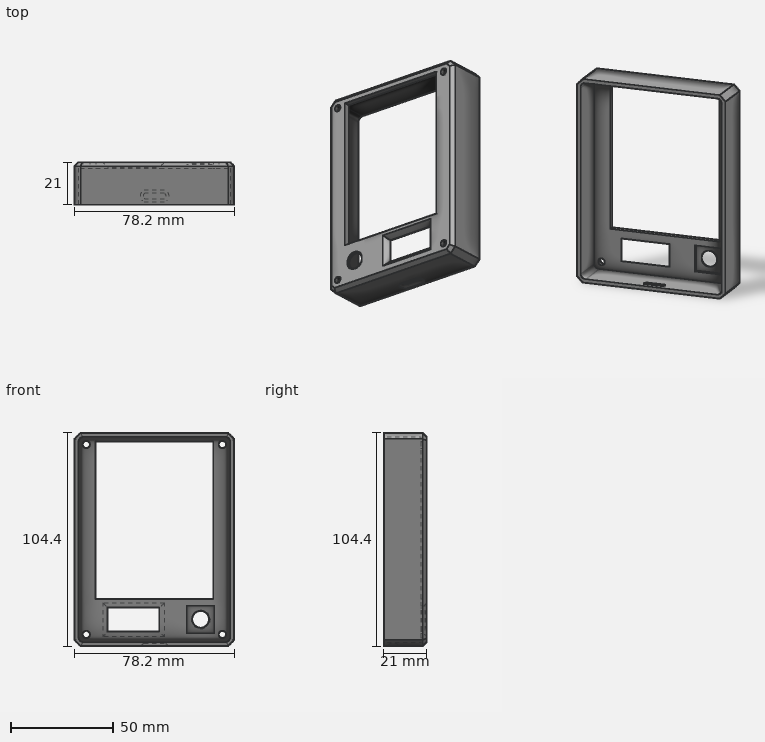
import cadquery as cq
import math

width = 78.2
depth = 21.0
height = 104.4
corner_cut = 3.0
panel_bevel = 2.0
side_wall = 2.0
panel_thickness = 3.0
panel_inner_y = depth - panel_thickness
cavity_corner_radius = 2.5

screen_width = 57.4
screen_height = 76.8
screen_x = 0.0
screen_z = 9.4
display_width = 25.2
display_height = 11.6
display_x = -10.2
display_z = -39.2

button_size = 13.5
button_hole_diameter = 8.1
button_x = 22.7
button_z = -39.0
button_pocket_depth = 2.0

rim_thickness = 0.5
flare_angle = 45

screw_diameter = 3.4
screw_spacing_x = 66.6
screw_spacing_z = 92.9

slot_length = 11.1
slot_width = 3.1
slot_x = 0.0
slot_y = 4.5


def box(size_x, size_z, x, z, y_start, y_length):
    """Block centred on (x, z), running from y_start toward +Y."""
    block = cq.Workplane("XY").box(size_x, y_length, size_z, centered=(True, False, True))
    return block.translate((x, y_start, z))


def panel_sketch(y):
    """Sketch plane parallel to the panel at the given y."""
    return cq.Workplane("XZ", origin=(0, y, 0))


def panel_drill(diameter, points):
    """Round cutters along Y through the whole panel."""
    return panel_sketch(panel_inner_y).pushPoints(points).circle(diameter / 2).extrude(-panel_thickness)


def make_shell():
    shell = box(width, height, 0, 0, 0, depth)
    shell = shell.edges("|Y").chamfer(corner_cut)
    shell = shell.faces(">Y").chamfer(panel_bevel)
    cavity = box(
        width - 2 * side_wall,
        height - 2 * side_wall,
        0,
        0,
        0,
        panel_inner_y,
    )
    return shell.cut(cavity.edges("|Y").fillet(cavity_corner_radius))


def cut_windows(body):
    screen = box(screen_width, screen_height, screen_x, screen_z, panel_inner_y, panel_thickness)
    display = box(display_width, display_height, display_x, display_z, panel_inner_y, panel_thickness)
    flare_depth = panel_thickness - rim_thickness
    flare_growth = 2 * flare_depth * math.tan(math.radians(flare_angle))
    display_flare = panel_sketch(panel_inner_y + rim_thickness).center(display_x, display_z)
    display_flare = display_flare.rect(display_width, display_height).workplane(offset=-flare_depth)
    display_flare = display_flare.rect(display_width + flare_growth, display_height + flare_growth)
    display_flare = display_flare.loft(ruled=True)
    return body.cut(screen).cut(display).cut(display_flare)


def cut_button(body):
    pocket = box(button_size, button_size, button_x, button_z, panel_inner_y, button_pocket_depth)
    hole = panel_drill(button_hole_diameter, [(button_x, button_z)])
    flare_depth = panel_thickness - button_pocket_depth - rim_thickness
    hole_flare = panel_sketch(depth - flare_depth).center(button_x, button_z)
    hole_flare = hole_flare.circle(button_hole_diameter / 2).extrude(-flare_depth, taper=-flare_angle)
    return body.cut(pocket).cut(hole).cut(hole_flare)


def cut_screw_holes(body):
    half_x = screw_spacing_x / 2
    half_z = screw_spacing_z / 2
    points = [(x, z) for x in (-half_x, half_x) for z in (-half_z, half_z)]
    return body.cut(panel_drill(screw_diameter, points))


def cut_cable_slot(body):
    flare_depth = side_wall - rim_thickness
    flare_top = cq.Workplane("XY", origin=(slot_x, slot_y, -height / 2 + flare_depth))
    rim = flare_top.slot2D(slot_length, slot_width).extrude(rim_thickness)
    outer_flare = flare_top.slot2D(slot_length, slot_width).extrude(-flare_depth, taper=-flare_angle)
    return body.cut(rim).cut(outer_flare)


result = make_shell()
result = cut_windows(result)
result = cut_button(result)
result = cut_screw_holes(result)
result = cut_cable_slot(result)